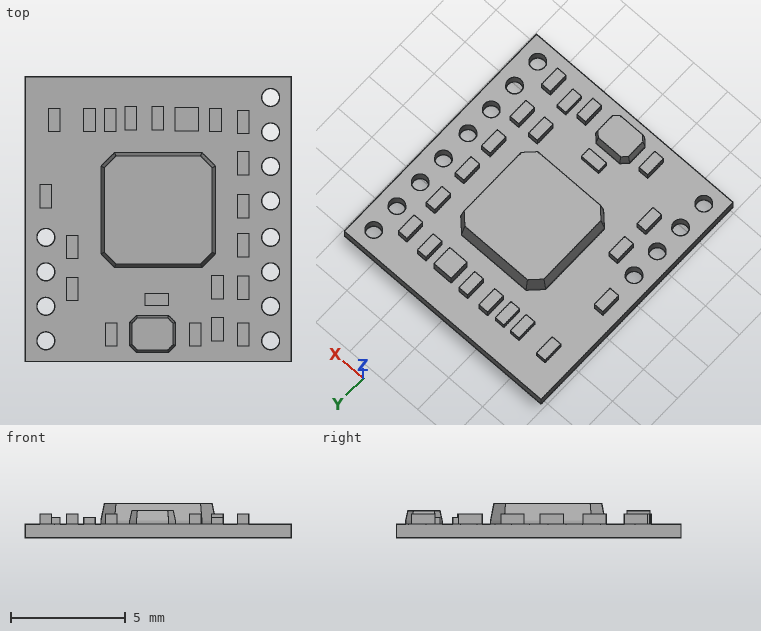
import cadquery as cq
import math

BOARD_WIDTH = 11.6
BOARD_LENGTH = 12.4
BOARD_THICKNESS = 0.6

HOLE_DIAMETER = 0.77
HOLE_PITCH = 1.5
HOLE_GROUP_GAP = 1.59
HOLE_EDGE_DISTANCE = 0.9
HOLES_PER_GROUP = 4

CHIP_WIDTH = 0.51
CHIP_LENGTH = 1.02
TALL_CHIP = 0.45
LOW_CHIP = 0.3

TALL_CHIP_CENTRES = [
    (-4.9, 0.99), (-3.75, -1.22), (-3.75, -3.04),
    (-1.2, 4.39), (-0.02, 4.39), (2.49, 4.32),
    (3.7, 4.23), (3.7, 2.43), (3.7, 0.56), (3.7, -1.14), (3.7, -2.99), (3.7, -5.02),
    (2.58, -2.96), (1.61, -5.02), (-2.05, -5.02),
]
LOW_CHIP_CENTRES = [(-4.53, 4.32), (-2.99, 4.32), (-2.1, 4.32), (2.58, -4.8)]

CROSSWISE_CHIP_CENTRE = (-0.06, -3.5)

SQUARE_CHIP_SIDE = 1.02
SQUARE_CHIP_HEIGHT = 0.6
SQUARE_CHIP_CENTRE = (1.24, 4.34)

PACKAGE_BAND_HEIGHT = 0.15

PROCESSOR_SIDE = 5.0
PROCESSOR_HEIGHT = 0.9
PROCESSOR_CORNER_CUT = 0.6
PROCESSOR_INSET = 0.15
PROCESSOR_CENTRE = (0.0, 0.4)

CRYSTAL_WIDTH = 2.0
CRYSTAL_LENGTH = 1.6
CRYSTAL_HEIGHT = 0.6
CRYSTAL_CORNER_CUT = 0.3
CRYSTAL_INSET = 0.1
CRYSTAL_CENTRE = (-0.25, -5.0)


def board():
    return cq.Workplane("XY").box(
        BOARD_WIDTH, BOARD_LENGTH, BOARD_THICKNESS, centered=(True, True, False)
    )


def hole_centres():
    """Two groups of holes down the right edge, the lower group repeated on the left."""
    hole_x = BOARD_WIDTH / 2 - HOLE_EDGE_DISTANCE
    lowest_y = -BOARD_LENGTH / 2 + HOLE_EDGE_DISTANCE
    lower_group = [lowest_y + i * HOLE_PITCH for i in range(HOLES_PER_GROUP)]
    upper_start = lower_group[-1] + HOLE_GROUP_GAP
    upper_group = [upper_start + i * HOLE_PITCH for i in range(HOLES_PER_GROUP)]
    right_holes = [(hole_x, y) for y in lower_group + upper_group]
    left_holes = [(-hole_x, y) for y in lower_group]
    return right_holes + left_holes


def blocks(centres, width, length, height):
    """Plain blocks standing on the board."""
    return (
        cq.Workplane("XY", origin=(0, 0, BOARD_THICKNESS))
        .pushPoints(centres)
        .rect(width, length)
        .extrude(height)
    )


def tapered_package(centre, width, length, height, corner_cut, inset):
    """Package with cut corners whose sides lean inward by `inset` above the foot band."""
    band = (
        blocks([centre], width, length, PACKAGE_BAND_HEIGHT)
        .edges("|Z")
        .chamfer(corner_cut)
    )
    slope_height = height - PACKAGE_BAND_HEIGHT
    taper = math.degrees(math.atan2(inset, slope_height))
    return band.faces(">Z").wires().toPending().extrude(slope_height, taper=taper)


result = (
    board()
    .faces(">Z")
    .workplane(origin=(0, 0, 0))
    .pushPoints(hole_centres())
    .circle(HOLE_DIAMETER / 2)
    .cutThruAll()
)
result = result.union(blocks(TALL_CHIP_CENTRES, CHIP_WIDTH, CHIP_LENGTH, TALL_CHIP))
result = result.union(blocks(LOW_CHIP_CENTRES, CHIP_WIDTH, CHIP_LENGTH, LOW_CHIP))
result = result.union(blocks([CROSSWISE_CHIP_CENTRE], CHIP_LENGTH, CHIP_WIDTH, LOW_CHIP))
result = result.union(
    blocks([SQUARE_CHIP_CENTRE], SQUARE_CHIP_SIDE, SQUARE_CHIP_SIDE, SQUARE_CHIP_HEIGHT)
)
result = result.union(
    tapered_package(
        PROCESSOR_CENTRE,
        PROCESSOR_SIDE,
        PROCESSOR_SIDE,
        PROCESSOR_HEIGHT,
        PROCESSOR_CORNER_CUT,
        PROCESSOR_INSET,
    )
)
result = result.union(
    tapered_package(
        CRYSTAL_CENTRE,
        CRYSTAL_WIDTH,
        CRYSTAL_LENGTH,
        CRYSTAL_HEIGHT,
        CRYSTAL_CORNER_CUT,
        CRYSTAL_INSET,
    )
)